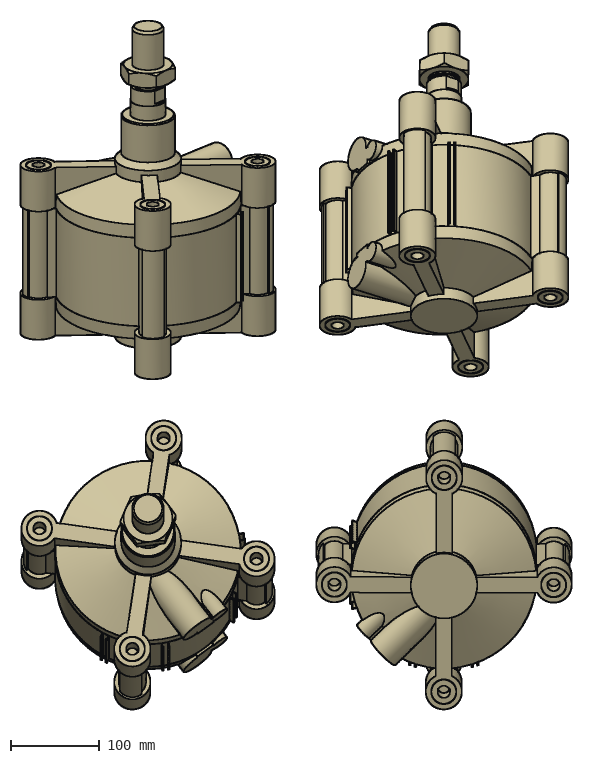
import cadquery as cq
import math


rear_hub_height = 14.4
cone_height = 24.6
rim_height = 15.7
barrel_length = 107.6
hub_overhang = 6.0
cover_height = rear_hub_height + cone_height + rim_height
barrel_top = cover_height + barrel_length
front_hub_top = barrel_top + cover_height

hub_radius = 75.0 / 2
rim_radius_at_barrel = 210.6 / 2
rim_radius_at_cone = 208.6 / 2
boss_spacing = 175.0
boss_radius = 41.0 / 2
boss_height = cover_height - hub_overhang
rib_width = 18.0
boss_distance = boss_spacing / math.sqrt(2)

seat_outer_radius = 28.5 / 2
seat_inner_radius = 28.0 / 2
seat_depth = 1.0
boss_hole_radius = 14.0 / 2
boss_hole_depth = 25.0

port_end_y = 108.0
port_radius = 39.5 / 2
port_x = 11.0
port_depth_in_hub = 30.5
cushion_radius = 23.0 / 2
cushion_x = -19.5
cushion_depth_in_hub = 41.2
port_bridge_left_x = -11.7
port_bridge_depth_in_hub = 33.0

sleeve_radius = 61.0 / 2
sleeve_top = 270.6
sleeve_chamfer = 1.5
shoulder_height = hub_radius - sleeve_radius

barrel_radius = 210.0 / 2
column_radius = 31.0 / 2
column_crest_radius = 36.0 / 2
column_crest_half_angle = 44.5
column_web_width = 25.0
rail_angle = 26.3
rail_width = 8.6
rail_wall = 1.0
rail_opening = 4.4
rail_outer_distance = 110.8
rail_root_depth = 2.0

rod_radius = 40.0 / 2
rod_shoulder = 306.0
wrench_section_radius = 39.5 / 2
wrench_section_height = 17.9
flat_width = 36.0
flat_height = 15.6
neck_radius = 31.8 / 2
neck_top = rod_shoulder + 5.0
thread_radius = 36.0 / 2
rod_top = 378.0
rod_tip_chamfer = 2.1
rod_tip_height = 3.5
neck_cone_height = 0.5

nut_across_flats = 55.0
nut_bottom = 313.5
nut_height = 18.0
nut_chamfer_angle = 30.0

diagonals = [45.0, 135.0, 225.0, 315.0]


def cylinder(radius, bottom, height):
    return cq.Workplane("XY").workplane(offset=bottom).circle(radius).extrude(height)


def radial_bar(inner, outer, width, bottom, height):
    """Bar along +X from one distance to another, centred on the X axis."""
    bar = cq.Workplane("XY").box(outer - inner, width, height, centered=(False, True, False))
    return bar.translate((inner, 0, bottom))


def turned(shape, angle):
    return shape.rotate((0, 0, 0), (0, 0, 1), angle)


def make_port(radius, x, z):
    """Round port running from the cylinder's mid plane to the +Y port face."""
    return cq.Workplane("XZ").center(x, z).circle(radius).extrude(-port_end_y)


def make_port_bridge():
    """Flat-topped web that fills the valley between the two ports."""
    bridge = cq.Workplane("XY").box(
        port_x - port_bridge_left_x,
        port_end_y,
        cover_height - port_bridge_depth_in_hub,
        centered=False,
    )
    return bridge.translate((port_bridge_left_x, 0, port_bridge_depth_in_hub))


def make_boss_seat():
    """Cutter for one boss, with the boss face at Z = hub_overhang and the boss on +X."""
    groove = cq.Workplane("XY").circle(seat_outer_radius).circle(seat_inner_radius).extrude(seat_depth)
    hole = cq.Workplane("XY").circle(boss_hole_radius).extrude(boss_hole_depth)
    return groove.union(hole).translate((boss_distance, 0, hub_overhang))


def make_rear_cover():
    cover = (
        cq.Workplane("XZ")
        .moveTo(0, 0)
        .lineTo(hub_radius, 0)
        .lineTo(hub_radius, rear_hub_height)
        .lineTo(rim_radius_at_cone, rear_hub_height + cone_height)
        .lineTo(rim_radius_at_barrel, cover_height)
        .lineTo(0, cover_height)
        .close()
        .revolve(360, (0, 0, 0), (0, 1, 0))
    )
    cover = cover.union(make_port(port_radius, port_x, port_depth_in_hub))
    cover = cover.union(make_port(cushion_radius, cushion_x, cushion_depth_in_hub))
    cover = cover.union(make_port_bridge())
    rib = radial_bar(0, boss_distance, rib_width, hub_overhang, boss_height)
    boss = cylinder(boss_radius, hub_overhang, boss_height).translate((boss_distance, 0, 0))
    arm = rib.union(boss)
    for angle in diagonals:
        cover = cover.union(turned(arm, angle))
    for angle in diagonals:
        cover = cover.cut(turned(make_boss_seat(), angle))
    return cover


def make_front_cover():
    """Mirror image of the rear cover, with the rod sleeve and the rod bore added."""
    cover = make_rear_cover().mirror("XY").translate((0, 0, front_hub_top))
    sleeve_base = front_hub_top + shoulder_height
    sleeve = (
        cq.Workplane("XZ")
        .moveTo(0, front_hub_top)
        .lineTo(hub_radius, front_hub_top)
        .lineTo(sleeve_radius, sleeve_base)
        .lineTo(sleeve_radius, sleeve_top - sleeve_chamfer)
        .lineTo(sleeve_radius - sleeve_chamfer, sleeve_top)
        .lineTo(0, sleeve_top)
        .close()
        .revolve(360, (0, 0, 0), (0, 1, 0))
    )
    rod_bore = cylinder(rod_radius, barrel_top, sleeve_top - barrel_top)
    return cover.union(sleeve).cut(rod_bore)


def make_column():
    """Tie-rod column on +X: a round core on a flat web, with a larger crest sector facing outward."""
    crest_x = column_crest_radius * math.cos(math.radians(column_crest_half_angle))
    crest_y = column_crest_radius * math.sin(math.radians(column_crest_half_angle))
    core = cq.Workplane("XY").circle(column_radius).extrude(barrel_length)
    crest = (
        cq.Workplane("XY")
        .moveTo(0, 0)
        .lineTo(crest_x, -crest_y)
        .threePointArc((column_crest_radius, 0), (crest_x, crest_y))
        .close()
        .extrude(barrel_length)
    )
    column = core.union(crest).translate((boss_distance, 0, cover_height))
    web = radial_bar(0, boss_distance, column_web_width, cover_height, barrel_length)
    return column.union(web)


def make_rail():
    """Sensor rail on +X: a C-shaped channel that opens outward."""
    root = barrel_radius - rail_root_depth
    rail = radial_bar(root, rail_outer_distance, rail_width, cover_height, barrel_length)
    channel = radial_bar(
        barrel_radius,
        rail_outer_distance - rail_wall,
        rail_width - 2 * rail_wall,
        cover_height,
        barrel_length,
    )
    opening = radial_bar(barrel_radius, rail_outer_distance, rail_opening, cover_height, barrel_length)
    return rail.cut(channel).cut(opening)


def make_barrel():
    barrel = cylinder(barrel_radius, cover_height, barrel_length)
    for angle in diagonals:
        barrel = barrel.union(turned(make_column(), angle))
    for angle in [rail_angle, 90 - rail_angle, 90 + rail_angle, 180 - rail_angle]:
        barrel = barrel.union(turned(make_rail(), angle))
    return barrel


def make_rod():
    """Rod with a two-flat wrench section, an undercut neck and a threaded end modelled plain."""
    wrench_section_bottom = rod_shoulder - wrench_section_height
    rod = (
        cq.Workplane("XZ")
        .moveTo(0, barrel_top)
        .lineTo(rod_radius, barrel_top)
        .lineTo(rod_radius, wrench_section_bottom)
        .lineTo(wrench_section_radius, wrench_section_bottom)
        .lineTo(wrench_section_radius, rod_shoulder)
        .lineTo(neck_radius, rod_shoulder)
        .lineTo(neck_radius, neck_top - neck_cone_height)
        .lineTo(thread_radius, neck_top)
        .lineTo(thread_radius, rod_top - rod_tip_height)
        .lineTo(thread_radius - rod_tip_chamfer, rod_top)
        .lineTo(0, rod_top)
        .close()
        .revolve(360, (0, 0, 0), (0, 1, 0))
    )
    for angle in [0, 180]:
        flat_bottom = rod_shoulder - flat_height
        flat = radial_bar(flat_width / 2, rod_radius, 2 * rod_radius, flat_bottom, flat_height)
        rod = rod.cut(turned(flat, angle))
    return rod


def make_nut():
    """Hexagon nut with two flats facing +X and -X, its corners chamfered at both ends."""
    corner_radius = nut_across_flats / 2 / math.cos(math.pi / 6)
    flat_radius = nut_across_flats / 2
    chamfer_height = (corner_radius - flat_radius) * math.tan(math.radians(nut_chamfer_angle))
    nut_top = nut_bottom + nut_height
    hexagon = cq.Workplane("XY").workplane(offset=nut_bottom).polygon(6, 2 * corner_radius)
    hexagon = turned(hexagon.extrude(nut_height), 30)
    envelope = (
        cq.Workplane("XZ")
        .moveTo(thread_radius, nut_bottom)
        .lineTo(flat_radius, nut_bottom)
        .lineTo(corner_radius, nut_bottom + chamfer_height)
        .lineTo(corner_radius, nut_top - chamfer_height)
        .lineTo(flat_radius, nut_top)
        .lineTo(thread_radius, nut_top)
        .close()
        .revolve(360, (0, 0, 0), (0, 1, 0))
    )
    return hexagon.intersect(envelope)


rear_cover = make_rear_cover()
barrel = make_barrel()
front_cover = make_front_cover()
rod = make_rod()
nut = make_nut()

result = cq.Compound.makeCompound(
    [rear_cover.val(), barrel.val(), front_cover.val(), rod.val(), nut.val()]
)